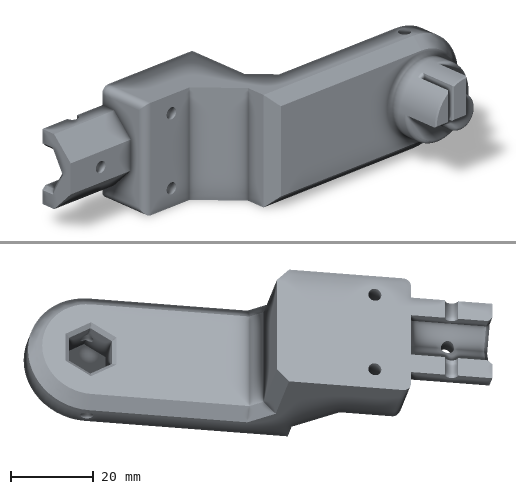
import cadquery as cq
import math

length = 110.0
width = 30.0
half_width = width / 2
edge_chamfer = 3.0
pin_hole_diameter = 3.2

arm_left = 21.5
arm_thickness = 12.0
arm_right = arm_left + arm_thickness
arm_foot = 45.0
pivot_y = length - half_width

block_depth = 15.0
block_front = 20.0
block_back = 53.0
block_fillet = 2.0
front_slope_run = 10.0
back_slope_run = 3.0
screw_hole_y = 28.9
screw_hole_z = 10.0

tongue_reach = 10.0
tongue_pin_y = 10.0

socket_flats = 10.6
socket_chamfer = 1.0
arm_socket_depth = 10.0

coupling_diameter = 21.0
coupling_end = 49.5
disc_end = 39.5
coupling_fillet = 1.0
core_pin_diameter = 9.5
core_pin_end = 47.4
slot_width = 1.3
finger_tip_chamfer = 0.3


def box_between(low, high):
    """Axis-aligned box spanning two opposite corners."""
    size = [b - a for a, b in zip(low, high)]
    return cq.Workplane("XY").box(*size, centered=False).translate(low)


def rod_x(diameter, x_start, x_end, y, z=0):
    """Cylinder running along X."""
    plane = cq.Workplane("YZ", origin=(x_start, y, z))
    return plane.circle(diameter / 2).extrude(x_end - x_start)


def rod_z(diameter, x, y):
    """Cylinder running along Z through the whole width."""
    return cq.Workplane("XY").center(x, y).circle(diameter / 2).extrude(half_width, both=True)


def hexagon_points(flats):
    """Corners of a hexagon with one corner on the first axis."""
    radius = flats / math.sqrt(3)
    angles = [math.radians(60 * i) for i in range(6)]
    return [(radius * math.cos(a), radius * math.sin(a)) for a in angles]


def hex_socket(plane, depth):
    """Hexagonal cutter with a 45 degree lead-in at its mouth."""
    mouth_flats = socket_flats + 2 * socket_chamfer
    bore = cq.Workplane(plane).polyline(hexagon_points(socket_flats)).close().extrude(depth)
    lead_in = (
        cq.Workplane(plane).polyline(hexagon_points(mouth_flats)).close()
        .workplane(offset=socket_chamfer)
        .polyline(hexagon_points(socket_flats)).close()
        .loft(ruled=True)
    )
    return bore.union(lead_in)


def make_arm():
    """Round-ended plate, chamfered around both faces."""
    plate = (
        cq.Workplane("YZ", origin=(arm_left, 0, 0))
        .moveTo(arm_foot, -half_width)
        .lineTo(pivot_y, -half_width)
        .threePointArc((length, 0), (pivot_y, half_width))
        .lineTo(arm_foot, half_width)
        .close()
        .extrude(arm_thickness)
    )
    return plate.faces("<X or >X").edges().chamfer(edge_chamfer)


def bridge_outline(inset):
    """Block and bridge outline, with the back edge set in by the given amount."""
    inner_x = arm_right - edge_chamfer
    slope_start = arm_left - back_slope_run
    return [
        (0, block_front),
        (block_depth, block_front),
        (block_depth, arm_foot - front_slope_run),
        (block_depth + front_slope_run, arm_foot),
        (inner_x, arm_foot),
        (inner_x, block_back + back_slope_run),
        (arm_left + inset, block_back + back_slope_run),
        (slope_start, block_back - inset),
        (0, block_back - inset),
    ]


def make_block():
    """Block and bridge, with sloped margins along the back edge and a rounded front."""
    core_half = half_width - edge_chamfer
    core = cq.Workplane("XY").polyline(bridge_outline(0)).close().extrude(core_half, both=True)
    margin = (
        cq.Workplane("XY", origin=(0, 0, core_half))
        .polyline(bridge_outline(0)).close()
        .workplane(offset=edge_chamfer)
        .polyline(bridge_outline(edge_chamfer)).close()
        .loft(ruled=True)
    )
    block = core.union(margin).union(margin.mirror("XY")).clean()
    return block.faces("<Y").edges("not(<X)").fillet(block_fillet)


def make_tongue():
    """Half of a regular octagonal bar that runs a little way into the block."""
    half_side = tongue_reach * math.tan(math.pi / 8)
    outline = [
        (0, -tongue_reach),
        (half_side, -tongue_reach),
        (tongue_reach, -half_side),
        (tongue_reach, half_side),
        (half_side, tongue_reach),
        (0, tongue_reach),
    ]
    return cq.Workplane("XZ").polyline(outline).close().extrude(-(block_front + block_fillet))


def make_coupling():
    """Disc with a rounded rim, a quarter-round slotted finger and a central pin."""
    radius = coupling_diameter / 2
    finger_start = disc_end - coupling_fillet
    disc = rod_x(coupling_diameter, arm_right, disc_end, pivot_y).faces(">X").edges().fillet(coupling_fillet)
    pin = rod_x(core_pin_diameter, arm_right, core_pin_end, pivot_y).faces(">X").edges().fillet(coupling_fillet)

    slot_top = pivot_y - core_pin_diameter / 2
    slot = box_between((finger_start, slot_top - slot_width, 0), (coupling_end, slot_top, radius))
    quarter = box_between((finger_start, pivot_y - radius, 0), (coupling_end, pivot_y, radius))
    finger = rod_x(coupling_diameter, finger_start, coupling_end, pivot_y).intersect(quarter).cut(slot)
    finger = finger.faces(">X").edges().chamfer(finger_tip_chamfer)
    return disc.union(finger).union(pin)


def make_coupling_root():
    """Concave flare where the coupling meets the arm."""
    radius = coupling_diameter / 2
    flare = coupling_fillet
    mid = flare * (1 - math.sqrt(0.5))
    return (
        cq.Workplane("XY")
        .moveTo(arm_right, pivot_y)
        .lineTo(arm_right, pivot_y + radius + flare)
        .threePointArc((arm_right + mid, pivot_y + radius + mid), (arm_right + flare, pivot_y + radius))
        .lineTo(arm_right + flare, pivot_y)
        .close()
        .revolve(360, (0, pivot_y, 0), (1, pivot_y, 0))
    )


body = make_arm().union(make_block()).union(make_tongue())
body = body.union(make_coupling_root()).union(make_coupling())

tongue_socket_plane = cq.Plane(origin=(0, 0, 0), xDir=(1, 0, 0), normal=(0, 1, 0))
body = body.cut(hex_socket(tongue_socket_plane, block_front))
arm_socket_plane = cq.Plane(origin=(arm_left, pivot_y, 0), xDir=(0, 0, 1), normal=(1, 0, 0))
body = body.cut(hex_socket(arm_socket_plane, arm_socket_depth))

body = body.cut(rod_z(pin_hole_diameter, arm_left + arm_thickness / 2, pivot_y))
body = body.cut(rod_z(pin_hole_diameter, 0, tongue_pin_y))
body = body.cut(rod_x(pin_hole_diameter, 0, tongue_reach, tongue_pin_y))

for side in (-1, 1):
    body = body.cut(rod_x(pin_hole_diameter, 0, block_depth, screw_hole_y, side * screw_hole_z))

result = body